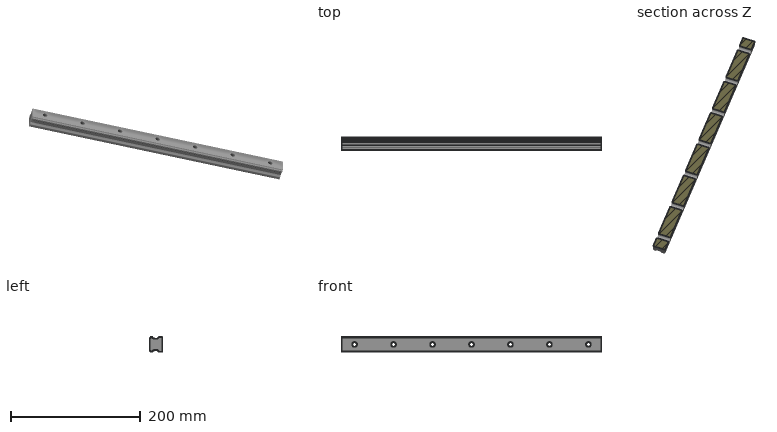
import cadquery as cq

length = 400.0
height = 20.0
width = 23.0

base_chamfer = 1.2
waist_bottom = 8.0
waist_top = 12.6
lower_groove_start = 13.55
head_bottom = 15.55
head_top = 17.75

half_width = width / 2
half_waist = 8.85
half_groove_end = 9.5

shoulder_level = waist_bottom - (half_width - half_waist)
shoulder_radius = 1.25

lower_groove_radius = 2.0
upper_groove_radius = 3.2

hole_diameter = 7.0
hole_pitch = 60.0
hole_count = 7


def half_rail():
    """The +Z half of the rail, with its mounting face on Y = 0, extruded along X."""
    section = (
        cq.Workplane("YZ", origin=(-length / 2, 0, 0))
        .lineTo(0, half_width - base_chamfer)
        .lineTo(base_chamfer, half_width)
        .lineTo(shoulder_level, half_width)
        .lineTo(waist_bottom, half_waist)
        .lineTo(waist_top, half_waist)
        .lineTo(lower_groove_start, half_groove_end)
        .radiusArc((head_bottom, half_width), -lower_groove_radius)
        .lineTo(head_top, half_width)
        .radiusArc((height, half_groove_end), -upper_groove_radius)
        .lineTo(height, 0)
        .close()
    )
    shoulder = cq.selectors.NearestToPointSelector((0, shoulder_level, half_width))
    return section.extrude(length).edges("|X").edges(shoulder).fillet(shoulder_radius)


def mounting_holes():
    """Evenly spaced cylinders running through the rail along Y."""
    row = cq.Workplane("XZ").rarray(hole_pitch, 1, hole_count, 1)
    return row.circle(hole_diameter / 2).extrude(-height)


upper_half = half_rail()
rail = upper_half.union(upper_half.mirror("XY")).clean()
result = rail.cut(mounting_holes()).translate((0, -height / 2, 0))